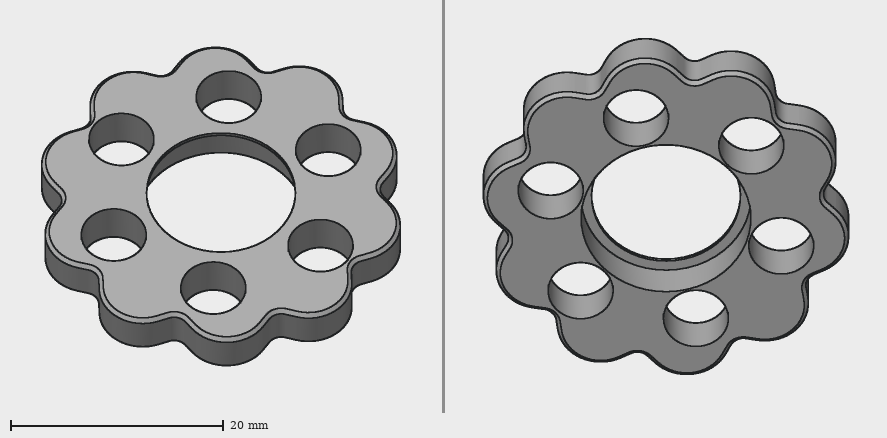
import cadquery as cq
import math

lobe_count = 10
tip_radius = 17.4
valley_bottom_radius = 15.02
lobe_arc_radius = 4.1
valley_arc_radius = 1.32
first_lobe_angle = math.pi / 2
half_pitch = math.pi / lobe_count

thickness = 4.4
rim_chamfer = 0.38

bore_diameter = 14.0
seat_diameter = 16.0
lip_thickness = 0.38

drive_hole_count = 6
drive_hole_diameter = 6.12
drive_hole_circle_diameter = 22.55


def polar(radius, angle):
    return cq.Vector(radius * math.cos(angle), radius * math.sin(angle))


def flank_tangent_points(lobe_angle, side):
    """Lobe end and valley end of a flank; side is +1 counterclockwise, -1 clockwise."""
    lobe_center = polar(tip_radius - lobe_arc_radius, lobe_angle)
    valley_center = polar(valley_bottom_radius + valley_arc_radius, lobe_angle + side * half_pitch)
    to_valley = valley_center - lobe_center
    tilt = math.acos((lobe_arc_radius + valley_arc_radius) / to_valley.Length)
    normal_angle = math.atan2(to_valley.y, to_valley.x) - side * tilt
    lobe_end = lobe_center + polar(lobe_arc_radius, normal_angle)
    valley_end = valley_center - polar(valley_arc_radius, normal_angle)
    return lobe_end, valley_end


def make_disc():
    """Lobed plate with both rim edges chamfered, standing on Z = 0."""
    rim = []
    for i in range(lobe_count):
        lobe_angle = first_lobe_angle + 2 * half_pitch * i
        lobe_start, _ = flank_tangent_points(lobe_angle, -1)
        lobe_end, valley_start = flank_tangent_points(lobe_angle, 1)
        next_lobe_start, valley_end = flank_tangent_points(lobe_angle + 2 * half_pitch, -1)
        tip = polar(tip_radius, lobe_angle)
        valley_bottom = polar(valley_bottom_radius, lobe_angle + half_pitch)
        rim += [
            cq.Edge.makeThreePointArc(lobe_start, tip, lobe_end),
            cq.Edge.makeLine(lobe_end, valley_start),
            cq.Edge.makeThreePointArc(valley_start, valley_bottom, valley_end),
            cq.Edge.makeLine(valley_end, next_lobe_start),
        ]
    plate = cq.Workplane("XY").add(cq.Wire.assembleEdges(rim)).toPending().extrude(thickness)
    return plate.faces("<Z or >Z").edges().chamfer(rim_chamfer)


def make_bore():
    """Stepped cutter for the central bore."""
    through = cq.Workplane("XY").circle(bore_diameter / 2).extrude(thickness)
    seat = cq.Workplane("XY").circle(seat_diameter / 2).extrude(thickness - lip_thickness)
    return through.union(seat)


def make_drive_holes():
    """Cutters for the ring of through holes."""
    return (
        cq.Workplane("XY")
        .polarArray(drive_hole_circle_diameter / 2, 0, 360, drive_hole_count)
        .circle(drive_hole_diameter / 2)
        .extrude(thickness)
    )


result = make_disc().cut(make_bore()).cut(make_drive_holes())